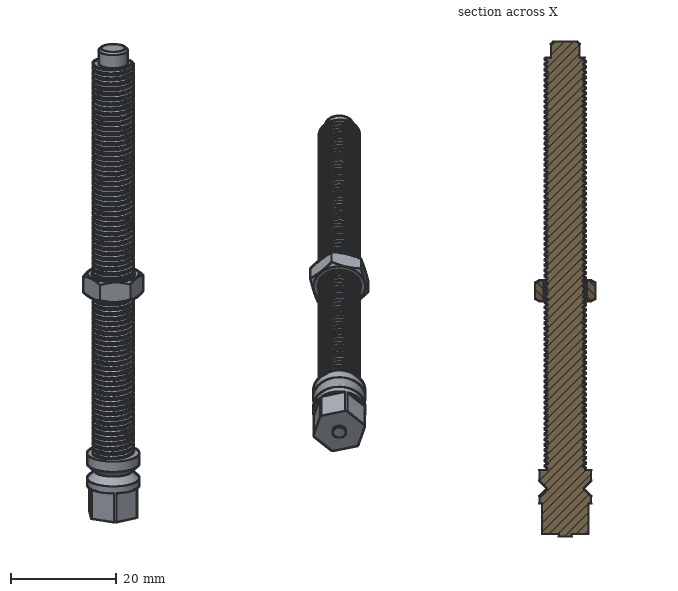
import cadquery as cq
import math

nub_diameter = 2.5
nub_height = 0.5
drive_flats = 8.8
drive_height = 5.8
collar_diameter = 10.0
lower_collar_height = 1.4
neck_diameter = 7.05
upper_collar_height = 2.1

thread_diameter = 7.9
thread_root_diameter = 6.8
thread_length = 78.2
thread_turns = 78
turns_per_segment = 6
crest_share = 1 / 8
thread_start_angle = 0

total_length = 94.0
tip_diameter = 5.5
tip_chamfer = 0.5

nut_flats = 10.0
nut_height = 4.0
nut_bottom = 44.65
nut_bore = 8.2
nut_chamfer_diameter = 9.8
nut_chamfer_angle = 30

drive_top = nub_height + drive_height
lower_collar_top = drive_top + lower_collar_height
groove_slope_height = (collar_diameter - neck_diameter) / 2
neck_level = lower_collar_top + groove_slope_height
upper_collar_bottom = neck_level + groove_slope_height
thread_bottom = upper_collar_bottom + upper_collar_height
thread_pitch = thread_length / thread_turns
thread_top = thread_bottom + thread_length


def cylinder(diameter, bottom, top):
    """Upright cylinder on the Z axis."""
    return cq.Workplane("XY").workplane(offset=bottom).circle(diameter / 2).extrude(top - bottom)


def hexagon(flats, bottom, height):
    """Upright hexagonal prism with corners on the X axis."""
    corners = flats / math.cos(math.pi / 6)
    return cq.Workplane("XY").workplane(offset=bottom).polygon(6, corners).extrude(height)


def foot():
    """Nub, hexagonal drive and the two collars with a V-shaped neck between them."""
    nub = cylinder(nub_diameter, 0, nub_height)
    drive = hexagon(drive_flats, nub_height, drive_height)
    drive = drive.intersect(cylinder(collar_diameter, nub_height, drive_top))
    collar_radius = collar_diameter / 2
    collars = (
        cq.Workplane("XZ")
        .moveTo(0, drive_top)
        .lineTo(collar_radius, drive_top)
        .lineTo(collar_radius, lower_collar_top)
        .lineTo(neck_diameter / 2, neck_level)
        .lineTo(collar_radius, upper_collar_bottom)
        .lineTo(collar_radius, thread_bottom)
        .lineTo(0, thread_bottom)
        .close()
        .revolve(360, (0, 0, 0), (0, 1, 0))
    )
    return nub.union(drive).union(collars)


def polar_point(radius, angle):
    """Point in the XY plane, with the angle in degrees."""
    return (radius * math.cos(math.radians(angle)), radius * math.sin(math.radians(angle)))


def thread_section():
    """Level section of the thread: a crest arc and two flank arcs that meet at the sharp root."""
    root = thread_root_diameter / 2
    crest = thread_diameter / 2
    flank = (root + crest) / 2
    crest_start = 180 - 180 * crest_share
    flank_angle = crest_start / 2
    return (
        cq.Workplane("XY")
        .moveTo(*polar_point(root, 0))
        .threePointArc(polar_point(flank, flank_angle), polar_point(crest, crest_start))
        .threePointArc(polar_point(crest, 180), polar_point(crest, -crest_start))
        .threePointArc(polar_point(flank, -flank_angle), polar_point(root, 0))
        .close()
    )


def threaded_rod():
    """Right-handed thread: equal twisted lengths of whole turns, joined into one shell."""
    segment_length = turns_per_segment * thread_pitch
    segment_count = thread_turns // turns_per_segment
    segment = thread_section().twistExtrude(segment_length, 360 * turns_per_segment)
    top_shift = (segment_count - 1) * segment_length
    bottom_face = segment.faces("%PLANE and <Z").val()
    top_face = segment.faces("%PLANE and >Z").val().translate(cq.Vector(0, 0, top_shift))
    skin = [bottom_face, top_face]
    for index in range(segment_count):
        shift = cq.Vector(0, 0, index * segment_length)
        for side_face in segment.faces("not %PLANE").vals():
            skin.append(side_face.translate(shift))
    rod = cq.Solid.makeSolid(cq.Shell.makeShell(skin))
    turned = cq.Workplane("XY").add(rod).rotate((0, 0, 0), (0, 0, 1), thread_start_angle)
    return turned.translate((0, 0, thread_bottom))


def tip():
    """Plain end of the rod with a chamfered rim."""
    return cylinder(tip_diameter, thread_top, total_length).faces(">Z").chamfer(tip_chamfer)


def make_stud():
    """Foot, threaded rod and tip as one solid."""
    return threaded_rod().union(foot()).union(tip())


def make_nut():
    """Hexagonal nut with corners on the Y axis, chamfered on both faces and bored clear of the thread."""
    body = hexagon(nut_flats, 0, nut_height).rotate((0, 0, 0), (0, 0, 1), 90)
    corner_radius = nut_flats / 2 / math.cos(math.pi / 6)
    rim_radius = nut_chamfer_diameter / 2
    drop = (corner_radius - rim_radius) * math.tan(math.radians(nut_chamfer_angle))
    chamfered_blank = (
        cq.Workplane("XZ")
        .lineTo(rim_radius, 0)
        .lineTo(corner_radius, drop)
        .lineTo(corner_radius, nut_height - drop)
        .lineTo(rim_radius, nut_height)
        .lineTo(0, nut_height)
        .close()
        .revolve(360, (0, 0, 0), (0, 1, 0))
    )
    bore = cylinder(nut_bore, 0, nut_height)
    return body.intersect(chamfered_blank).cut(bore).translate((0, 0, nut_bottom))


stud = make_stud()
nut = make_nut()

result = cq.Compound.makeCompound([stud.val(), nut.val()])